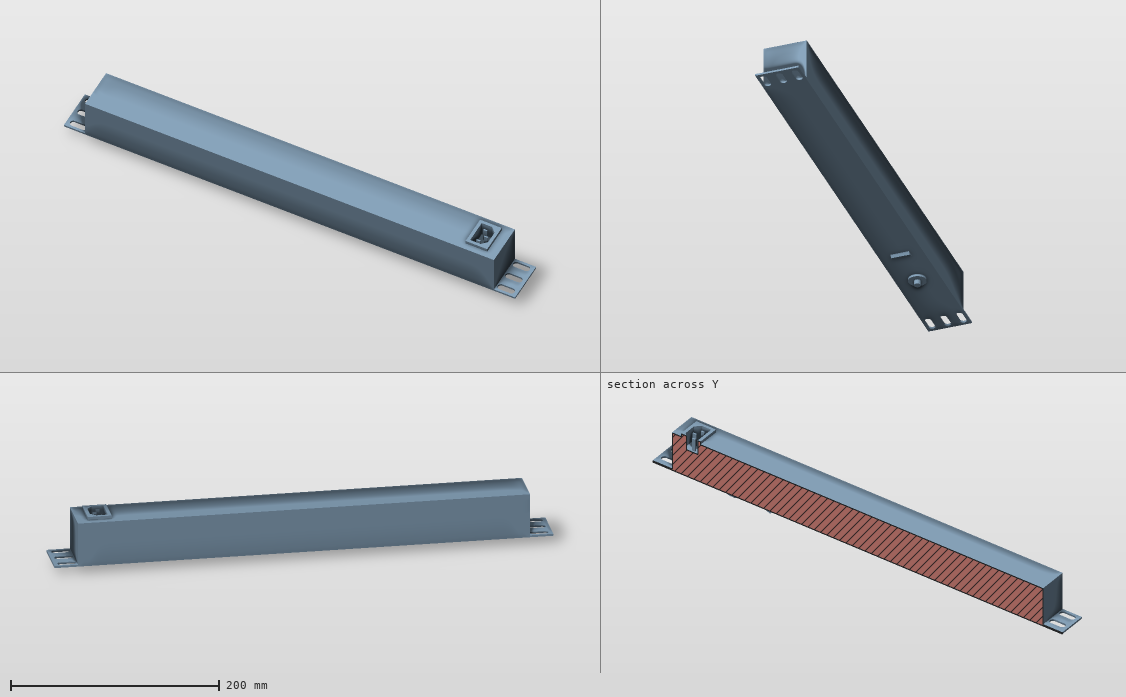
import cadquery as cq

overall_length = 487.0
depth = 44.5
overall_height = 55.0
body_length = 441.0
body_height = 44.5
flange_thickness = 2.0

slot_length = 18.0
slot_width = 7.0
slot_spacing = 16.0
slot_center_x = 231.0

inlet_x = 198.0
inlet_length = 23.5
inlet_width = 30.5
inlet_rise = 3.5
recess_length = 16.5
recess_width = 24.5
recess_corner = 5.5
recess_depth = 16.0

pin_length = 4.0
pin_width = 1.5
pin_height = 14.0
pin_spacing = 7.5
outer_pin_x = 196.5
middle_pin_x = 200.5

button_x = 151.5
collar_diameter = 18.0
collar_height = 2.5
stem_diameter = 7.0
drop = overall_height - body_height - inlet_rise

rocker_x = 102.0
rocker_length = 7.0
rocker_width = 19.0
rocker_peak_offset = 2.0
rocker_peak_depth = 3.0
rocker_end_depth = 1.5


def block(length, width, height, x, y, base_z):
    """Box centred on x and y that rises from base_z."""
    solid = cq.Workplane("XY").box(length, width, height, centered=(True, True, False))
    return solid.translate((x, y, base_z))


def make_housing():
    plate = block(overall_length, depth, flange_thickness, 0, 0, 0)
    slot_centers = [
        (side * slot_center_x, row * slot_spacing)
        for side in (-1, 1)
        for row in (-1, 0, 1)
    ]
    slots = (
        cq.Workplane("XY")
        .pushPoints(slot_centers)
        .slot2D(slot_length, slot_width)
        .extrude(flange_thickness)
    )
    body = block(body_length, depth, body_height, 0, 0, 0)
    return plate.cut(slots).union(body)


def add_inlet(housing):
    inlet_top = body_height + inlet_rise
    floor_z = inlet_top - recess_depth
    rim = block(inlet_length, inlet_width, inlet_rise, inlet_x, 0, body_height)
    recess = block(recess_length, recess_width, recess_depth, inlet_x, 0, floor_z)
    recess = recess.edges("|Z and >X").chamfer(recess_corner)
    part = housing.union(rim).cut(recess)
    pin_centers = [
        (outer_pin_x, -pin_spacing),
        (middle_pin_x, 0),
        (outer_pin_x, pin_spacing),
    ]
    for x, y in pin_centers:
        part = part.union(block(pin_length, pin_width, pin_height, x, y, floor_z))
    return part


def make_button():
    underside = cq.Workplane("XY").center(button_x, 0)
    collar = underside.circle(collar_diameter / 2).extrude(-collar_height)
    stem = underside.circle(stem_diameter / 2).extrude(-drop)
    return collar.union(stem)


def make_rocker():
    """Shallow wedge with its ridge along Y."""
    profile = [
        (rocker_x, 0),
        (rocker_x + rocker_peak_offset, -rocker_peak_depth),
        (rocker_x + rocker_length, -rocker_end_depth),
        (rocker_x + rocker_length, 0),
    ]
    return cq.Workplane("XZ").polyline(profile).close().extrude(rocker_width / 2, both=True)


result = add_inlet(make_housing()).union(make_button()).union(make_rocker())